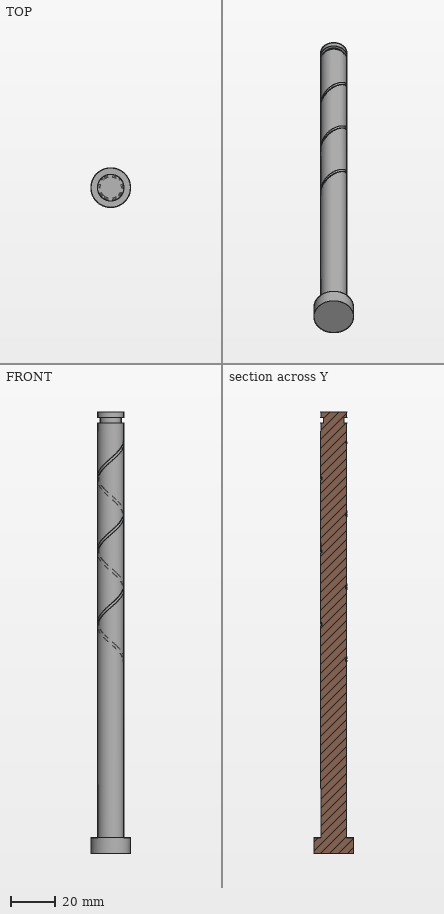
import cadquery as cq

total_height = 200.0
shaft_diameter = 12.0
head_diameter = 18.0
head_height = 7.2

ring_groove_diameter = 9.5
ring_groove_width = 2.5
tip_height = 2.5

helix_turns = 3
helix_pitch = 33.0
helix_top = 186.5
helix_groove_radius = 0.5

shaft_radius = shaft_diameter / 2


def make_pin():
    """Plain cylindrical shaft standing on its wider head."""
    head = cq.Workplane("XY").circle(head_diameter / 2).extrude(head_height)
    shaft = cq.Workplane("XY").circle(shaft_radius).extrude(total_height)
    return head.union(shaft)


def make_ring_groove():
    """Annular cutter for the square retaining groove."""
    groove_bottom = total_height - tip_height - ring_groove_width
    return (
        cq.Workplane("XY", origin=(0, 0, groove_bottom))
        .circle(head_diameter / 2)
        .circle(ring_groove_diameter / 2)
        .extrude(ring_groove_width)
    )


def make_helix_groove():
    """Right-handed round cutter swept around the shaft surface."""
    helix_height = helix_turns * helix_pitch
    helix_bottom = helix_top - helix_height
    start_center = cq.Vector(0, 0, helix_bottom)
    path = cq.Wire.makeHelix(helix_pitch, helix_height, shaft_radius, center=start_center)
    section_plane = cq.Plane(
        origin=path.startPoint(),
        xDir=(1, 0, 0),
        normal=path.tangentAt(0),
    )
    return (
        cq.Workplane(section_plane)
        .circle(helix_groove_radius)
        .sweep(cq.Workplane(path), isFrenet=True)
    )


result = make_pin().cut(make_ring_groove()).cut(make_helix_groove())